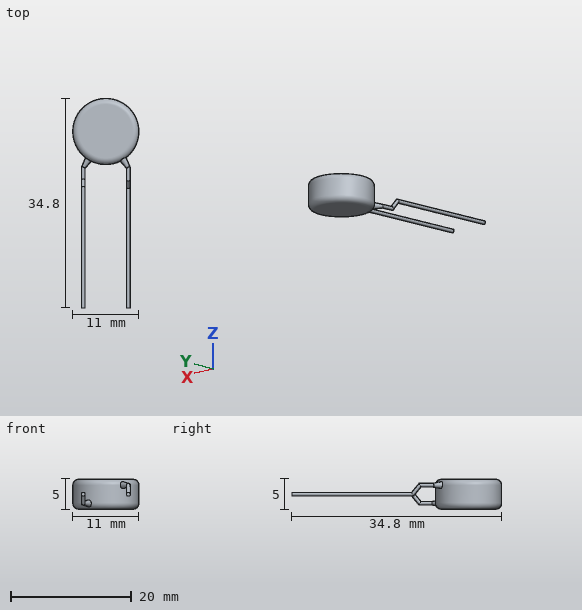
import cadquery as cq
import math


DISC_DIAMETER = 11.0
DISC_THICKNESS = 5.0
DISC_EDGE_RADIUS = 1.0
DISC_RADIUS = DISC_DIAMETER / 2

WIRE_DIAMETER = 0.65
WIRE_RADIUS = WIRE_DIAMETER / 2
LEAD_SPACING = 7.5
LEAD_LENGTH = 20.0
LEAD_EXIT_HEIGHT = 1.5
OVERALL_LENGTH = 34.8
BEND_RADIUS = 0.35
BEND_END_Y = -6.12
KINK_LENGTH = 1.25
LEAD_TIP_Y = DISC_RADIUS - OVERALL_LENGTH
KINK_END_Y = LEAD_TIP_Y + LEAD_LENGTH
KINK_START_Y = KINK_END_Y + KINK_LENGTH

SKIRT_RADIUS_AT_RIM = 0.57
SKIRT_ROOT_DEPTH = 0.5

LEAD_X = LEAD_SPACING / 2
BEND_CENTRE_X = LEAD_X - BEND_RADIUS
BEND_CENTRE_DISTANCE = math.hypot(BEND_CENTRE_X, BEND_END_Y)
BEND_ANGLE = math.atan2(BEND_CENTRE_X, -BEND_END_Y) + math.asin(BEND_RADIUS / BEND_CENTRE_DISTANCE)
BEND_START_DISTANCE = math.sqrt(BEND_CENTRE_DISTANCE**2 - BEND_RADIUS**2)


def bend_point(angle):
    """Point on the bend centreline, the given angle back from the straight wire."""
    return (
        BEND_CENTRE_X + BEND_RADIUS * math.cos(angle),
        BEND_END_Y + BEND_RADIUS * math.sin(angle),
    )


def radial_plane(distance):
    """Plane across the skirt axis, facing outward at a distance from the disc axis."""
    outward = (math.sin(BEND_ANGLE), -math.cos(BEND_ANGLE), 0)
    origin = (distance * outward[0], distance * outward[1], LEAD_EXIT_HEIGHT)
    return cq.Plane(origin=origin, xDir=(0, 0, 1), normal=outward)


def make_disc():
    bottom = cq.Workplane("XY", origin=(0, 0, -DISC_THICKNESS / 2))
    disc = bottom.circle(DISC_RADIUS).extrude(DISC_THICKNESS)
    return disc.faces("|Z").edges().fillet(DISC_EDGE_RADIUS)


def make_skirt(disc):
    """Coating cone from the disc surface to the start of the wire bend."""
    taper = (SKIRT_RADIUS_AT_RIM - WIRE_RADIUS) / (BEND_START_DISTANCE - DISC_RADIUS)
    root_distance = DISC_RADIUS - SKIRT_ROOT_DEPTH
    root_radius = SKIRT_RADIUS_AT_RIM + taper * SKIRT_ROOT_DEPTH
    plane = radial_plane(root_distance)
    cone = cq.Solid.makeCone(
        root_radius,
        WIRE_RADIUS,
        BEND_START_DISTANCE - root_distance,
        pnt=plane.origin,
        dir=plane.zDir,
    )
    return cq.Workplane(cone).cut(disc)


def make_lead():
    """Round wire: bend at the skirt, short straight, mitred kink, long straight."""
    straight_points = [
        (LEAD_X, KINK_START_Y),
        (LEAD_X, KINK_END_Y, -LEAD_EXIT_HEIGHT),
        (LEAD_X, LEAD_TIP_Y, -LEAD_EXIT_HEIGHT),
    ]
    path = (
        cq.Workplane("XY", origin=(0, 0, LEAD_EXIT_HEIGHT))
        .moveTo(*bend_point(BEND_ANGLE))
        .threePointArc(bend_point(BEND_ANGLE / 2), bend_point(0))
        .polyline(straight_points, includeCurrent=True)
    )
    start = cq.Workplane(radial_plane(BEND_START_DISTANCE)).circle(WIRE_RADIUS)
    return start.sweep(path, transition="right")


disc = make_disc()
skirt = make_skirt(disc)
lead = make_lead()

bodies = [disc.solids().val()]
for turn in (0, 180):
    for part in (skirt, lead):
        bodies.append(part.rotate((0, 0, 0), (0, 1, 0), turn).solids().val())

result = cq.Compound.makeCompound(bodies)